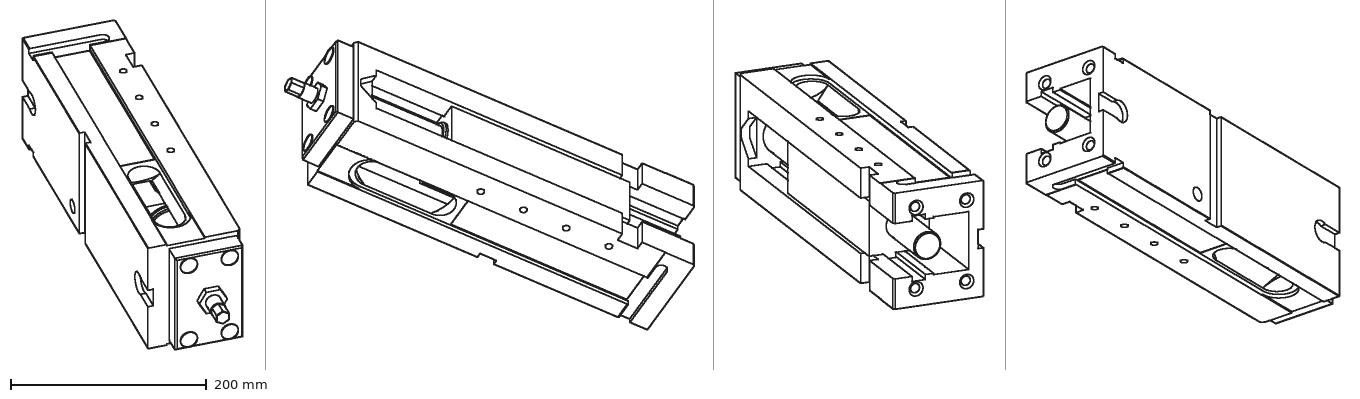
import cadquery as cq
import math

housing_length = 397.8
housing_height = 100.0
housing_width = 126.0
base_y = -housing_height / 2
top_y = housing_height / 2
side_z = housing_width / 2
near_chamfer = 2.0
far_chamfer = 3.0
base_chamfer = 1.0

axis_y = 11.5
guide_half_width = 30.0
tongue_half_width = 35.5
tongue_top_y = 29.5
tongue_bottom_y = 16.0
groove_bottom_y = 14.5
relief_half_width = 31.5
relief_top_y = 5.5
floor_y = -33.5
end_wall_x = 373.0
ramp_rise = 9.0

notch_mouth_half_width = 22.0
notch_floor_half_width = 5.5
notch_depth = 18.0
notch_bottom_y = 41.0
notch_fillet = 4.5

base_slot_start = 179.8
base_slot_end = 199.0
base_slot_depth = 6.0
rail_slot_start = 62.0
rail_slot_end = 85.0
rail_slot_depth = 9.5

clamp_slot_width = 20.5
clamp_slot_radius = 12.0
clamp_slot_depth = 6.0
near_clamp_x = 29.0
far_clamp_x = 368.0

side_slot_start = 20.5
side_slot_end = 33.5
side_slot_top_y = 34.0
channel_y = -9.0
channel_width = 41.0
channel_deep_depth = 6.0
channel_deep_end = 369.5
channel_shallow_depth = 2.0
rail_relief = 0.5
rail_relief_start = 34.5
strip_start = 36.0
strip_end = 242.0
strip_width = 38.5
strip_height = 0.5
window_start = 249.0
window_end = 362.3
window_width = 33.0
window_flare_below_mouth = 2.0

drill_point_angle = 118.0
side_hole_radius = 3.5
side_hole_depth = 11.5
side_hole_y = 28.5
side_hole_start = 88.7
side_hole_pitch = 50.0
side_hole_count = 4
base_hole_radius = 7.5
base_hole_depth = 11.5
base_hole_x = 159.0
base_hole_z = -42.5
end_hole_radius = 5.0
end_hole_rim_radius = 7.7
end_hole_depth = 22.8
end_hole_ys = (25.0, -31.5)
end_hole_z = 44.0

slider_start = 73.5
slider_end = 282.5
slider_bottom_y = -21.5
slider_top_y = 45.5
slider_chamfer = 7.5
rod_start = 2.0
rod_radius = 15.0
rod_chamfer = 1.5
collar_radius = 27.0
collar_length = 4.0
collar_chamfer = 2.0
tube_radius = 22.5
flange_thickness = 20.0
flange_bottom_y = -27.5
flange_top_y = 46.0
flange_half_width = 57.0
flange_chamfer = 2.0
bolt_head_radius = 9.0
bolt_head_height = 1.0
bolt_head_ys = (31.5, -12.7)
bolt_head_z = 46.0
nut_flats = 26.5
nut_end = 424.5
shaft_radius = 8.0
drive_start = 440.0
drive_flats = 13.5
drive_turn = 30.0
drive_chamfer = 0.5
overall_length = 455.0


def box(x0, x1, y0, y1, z0, z1):
    """Box between two opposite corners."""
    return cq.Workplane("XY").box(x1 - x0, y1 - y0, z1 - z0, centered=False).translate((x0, y0, z0))


def section(points, x0, x1):
    """Prism along X with a (y, z) outline."""
    return cq.Workplane("YZ").workplane(offset=x0).polyline(points).close().extrude(x1 - x0)


def cylinder(radius, x0, x1, y=axis_y, z=0.0):
    """Round bar along X."""
    return cq.Workplane("YZ").workplane(offset=x0).center(y, z).circle(radius).extrude(x1 - x0)


def hexagon(flats, x0, x1, turn=0.0):
    """Hexagonal bar along X on the spindle axis, turned about that axis."""
    corner_diameter = flats / math.cos(math.pi / 6)
    outline = cq.Workplane("YZ").workplane(offset=x0).center(axis_y, 0).polygon(6, corner_diameter)
    bar = outline.extrude(x1 - x0)
    return bar.rotate((0, axis_y, 0), (1, axis_y, 0), turn)


def drill(radius, depth, mouth, direction, rim_radius=None):
    """Blind drilled hole with a conical end; an optional 45-degree countersink widens its mouth."""
    tip = depth + radius / math.tan(math.radians(drill_point_angle / 2))
    rim = rim_radius or radius
    profile = [(0, 0), (rim, 0), (radius, rim - radius), (radius, depth), (0, tip)]
    if rim == radius:
        profile.pop(2)
    plane = cq.Plane(origin=mouth, xDir=(direction[1], direction[2], direction[0]), normal=direction)
    tool = cq.Workplane("XZ").polyline(profile).close().revolve(360, (0, 0, 0), (0, 1, 0))
    return cq.Workplane(tool.val().moved(cq.Location(plane)))


def both_sides(tool):
    """A shape together with its mirror image across the middle plane."""
    return tool.union(tool.mirror("XY"))


def make_block():
    outline = [
        (0, base_y),
        (housing_length, base_y),
        (housing_length, top_y - far_chamfer),
        (housing_length - far_chamfer, top_y),
        (near_chamfer, top_y),
        (0, top_y - near_chamfer),
    ]
    block = cq.Workplane("XY").workplane(offset=-side_z).polyline(outline).close().extrude(housing_width)
    return block.faces("<Y").edges("|X").chamfer(base_chamfer)


def make_cavity():
    guide = box(0, end_wall_x, relief_top_y, top_y, -guide_half_width, guide_half_width)
    tongue_groove = box(0, end_wall_x, groove_bottom_y, tongue_top_y, -tongue_half_width, tongue_half_width)
    relief_outline = [
        (0, floor_y),
        (end_wall_x - ramp_rise, floor_y),
        (end_wall_x, floor_y + ramp_rise),
        (end_wall_x, relief_top_y),
        (0, relief_top_y),
    ]
    relief = cq.Workplane("XY").polyline(relief_outline).close().extrude(relief_half_width, both=True)
    return guide.union(tongue_groove).union(relief)


def make_end_wall_notch():
    outline = [
        (end_wall_x, notch_mouth_half_width),
        (end_wall_x + notch_depth, notch_floor_half_width),
        (end_wall_x + notch_depth, -notch_floor_half_width),
        (end_wall_x, -notch_mouth_half_width),
    ]
    notch = cq.Workplane("XY").polyline(outline).close().extrude(top_y - notch_bottom_y)
    notch = notch.faces(">X").edges("|Z").fillet(notch_fillet)
    return notch.rotate((0, 0, 0), (1, 0, 0), -90).translate((0, notch_bottom_y, 0))


def make_cross_slot(x0, x1, y0, y1):
    """Square slot across the full width of the housing."""
    return box(x0, x1, y0, y1, -side_z, side_z)


def make_clamp_slot(center_x, open_end_x):
    half_width = clamp_slot_width / 2
    slot_top_y = base_y + clamp_slot_depth
    slot_start, slot_end = sorted((center_x, open_end_x))
    straight = box(slot_start, slot_end, base_y, slot_top_y, -half_width, half_width)
    top_plane = cq.Workplane("XZ", origin=(center_x, slot_top_y, 0))
    round_end = top_plane.circle(clamp_slot_radius).extrude(clamp_slot_depth)
    return straight.union(round_end)


def rounded_pocket(x0, x1, y0, y1, z0, z1):
    """Box with fully rounded ends across its shorter direction."""
    length = x1 - x0
    height = y1 - y0
    turn = 0 if length > height else 90
    center = cq.Workplane("XY", origin=((x0 + x1) / 2, (y0 + y1) / 2, z0))
    return center.slot2D(max(length, height), min(length, height), turn).extrude(z1 - z0)


def make_window():
    """Rounded slot into the cavity; just below its mouth both ends flare outward at 45 degrees."""
    bottom_y = channel_y - window_width / 2
    top_edge_y = channel_y + window_width / 2
    slot = rounded_pocket(window_start, window_end, bottom_y, top_edge_y, 0, side_z)
    flare_top_z = side_z - channel_deep_depth - window_flare_below_mouth
    flare = flare_top_z - relief_half_width
    straight_start = window_start + window_width / 2
    straight_end = window_end - window_width / 2
    flare_outline = [
        (straight_start, flare_top_z),
        (straight_end, flare_top_z),
        (straight_end + flare, relief_half_width),
        (straight_start - flare, relief_half_width),
    ]
    flare_plane = cq.Workplane("XZ", origin=(0, top_edge_y, 0))
    flared = flare_plane.polyline(flare_outline).close().extrude(window_width)
    return slot.union(flared)


def make_side_recess():
    """Everything cut into the +Z side face."""
    deep_z = side_z - channel_deep_depth
    slot_width = side_slot_end - side_slot_start
    cross_slot = rounded_pocket(
        side_slot_start, side_slot_end, base_y - slot_width, side_slot_top_y, deep_z, side_z
    )
    channel_bottom_y = channel_y - channel_width / 2
    channel_top_y = channel_y + channel_width / 2
    channel = rounded_pocket(
        side_slot_end - channel_width, channel_deep_end, channel_bottom_y, channel_top_y, deep_z, side_z
    ).intersect(box(side_slot_end, channel_deep_end, channel_bottom_y, channel_top_y, 0, side_z))
    shallow = box(
        side_slot_end, housing_length, channel_bottom_y, channel_top_y, side_z - channel_shallow_depth, side_z
    )
    strip = box(
        strip_start, strip_end, channel_y - strip_width / 2, channel_y + strip_width / 2,
        deep_z, deep_z + strip_height,
    )
    rail_face = box(rail_relief_start, housing_length, base_y, top_y, side_z - rail_relief, side_z)
    recess = cross_slot.union(channel).union(shallow).cut(strip).union(make_window()).union(rail_face)
    for index in range(side_hole_count):
        hole_x = side_hole_start + index * side_hole_pitch
        mouth = (hole_x, side_hole_y, side_z)
        recess = recess.union(drill(side_hole_radius, side_hole_depth, mouth, (0, 0, -1)))
    return recess


def make_housing():
    housing = make_block().cut(make_cavity()).cut(make_end_wall_notch())
    housing = housing.cut(make_cross_slot(base_slot_start, base_slot_end, base_y, base_y + base_slot_depth))
    housing = housing.cut(make_cross_slot(rail_slot_start, rail_slot_end, top_y - rail_slot_depth, top_y))
    housing = housing.cut(make_clamp_slot(near_clamp_x, 0))
    housing = housing.cut(make_clamp_slot(far_clamp_x, housing_length))
    housing = housing.cut(both_sides(make_side_recess()))
    base_mouth = (base_hole_x, base_y, base_hole_z)
    housing = housing.cut(drill(base_hole_radius, base_hole_depth, base_mouth, (0, 1, 0)))
    for hole_y in end_hole_ys:
        for hole_z in (-end_hole_z, end_hole_z):
            end_mouth = (0, hole_y, hole_z)
            housing = housing.cut(
                drill(end_hole_radius, end_hole_depth, end_mouth, (1, 0, 0), end_hole_rim_radius)
            )
    return housing.cut(cylinder(tube_radius, end_wall_x, housing_length))


def make_slider():
    half_outline = [
        (slider_top_y, guide_half_width),
        (tongue_top_y, guide_half_width),
        (tongue_top_y, tongue_half_width),
        (tongue_bottom_y, tongue_half_width),
        (tongue_bottom_y, guide_half_width),
        (slider_bottom_y + slider_chamfer, guide_half_width),
        (slider_bottom_y, guide_half_width - slider_chamfer),
    ]
    other_half = [(y, -z) for y, z in reversed(half_outline)]
    return section(half_outline + other_half, slider_start, slider_end)


def make_flange():
    flange_end = housing_length + flange_thickness
    flange = box(
        housing_length, flange_end, flange_bottom_y, flange_top_y, -flange_half_width, flange_half_width
    )
    flange = flange.faces(">X").chamfer(flange_chamfer)
    for head_y in bolt_head_ys:
        for head_z in (-bolt_head_z, bolt_head_z):
            head = cylinder(bolt_head_radius, housing_length, flange_end + bolt_head_height, head_y, head_z)
            flange = flange.union(head)
    return flange


def make_drive_unit():
    flange_end = housing_length + flange_thickness
    rod = cylinder(rod_radius, rod_start, slider_start).faces("<X").chamfer(rod_chamfer)
    collar = cylinder(collar_radius, slider_end, slider_end + collar_length)
    collar = collar.faces(">X").chamfer(collar_chamfer)
    tube = cylinder(tube_radius, slider_end, housing_length)
    nut = hexagon(nut_flats, flange_end, nut_end)
    shaft = cylinder(shaft_radius, nut_end, drive_start)
    drive = hexagon(drive_flats, drive_start, overall_length, drive_turn)
    drive = drive.faces(">X").chamfer(drive_chamfer)
    unit = make_slider()
    for piece in (rod, collar, tube, make_flange(), nut, shaft, drive):
        unit = unit.union(piece)
    return unit


housing = make_housing()
drive_unit = make_drive_unit()
result = cq.Compound.makeCompound([*housing.solids().vals(), *drive_unit.solids().vals()])